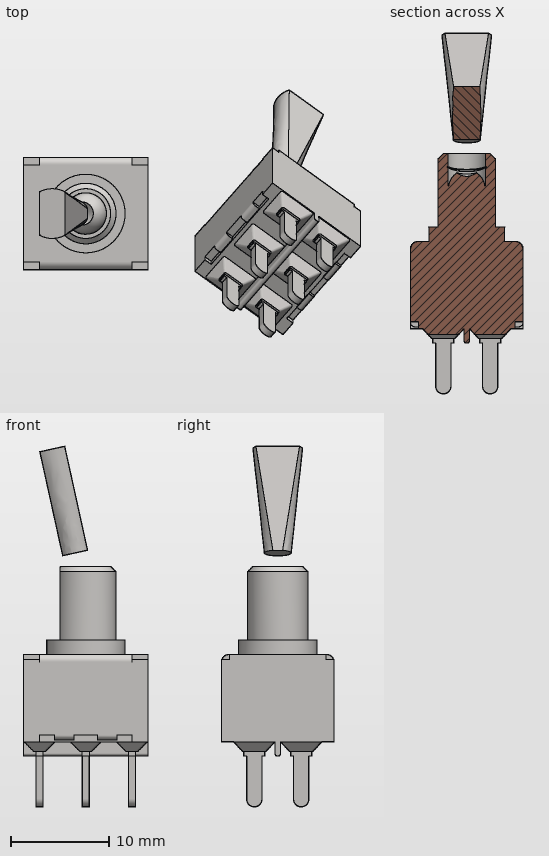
import cadquery as cq
import math


overall_height = 36.68

case_length = 12.7
case_width = 11.45
case_height = 8.9
cap_width = 9.83
wall_top = 8.4
plate_thickness = (case_width - cap_width) / 2
plate_y = (cap_width + plate_thickness) / 2
plate_length = 9.4
plate_bottom = 0.75
plate_bend_radius = 0.77

tab_length = 1.98
tab_offset = 2.15
tab_bottom = 0.22
tab_radius = 0.45

collar_diameter = 8.0
collar_top = 10.38
bushing_diameter = 6.15
bushing_top = 17.85
bushing_chamfer = 0.55
bushing_flat_x = -2.65
bore_diameter = 4.2

pivot_z = 14.3
ball_radius = bore_diameter / 2
socket_mouth_radius = 1.17
socket_floor_radius = 0.3
socket_depth = 0.6

terminal_pitch = 4.7
row_offset = 2.4
terminal_thickness = 0.75
terminal_width = 1.58
terminal_depth = 6.6
shoulder_width = 2.15
shoulder_depth = 1.43
seal_depth = 1.0
seal_tip_length = 1.15
seal_tip_width = 2.35
seal_root_length = 3.1
seal_root_width = 4.18
seal_corner_radius = 0.3

rib_thickness = 0.6
rib_depth = 1.43
rib_radius = 0.25

lever_tilt = 12.4
lever_start = 5.03
lever_thickness = 2.6
lever_low_flat = 1.0
lever_low_width = 2.75
lever_high_flat = 4.45
lever_high_width = 5.05
lever_angle = math.radians(lever_tilt)
lever_rise = overall_height - terminal_depth - pivot_z - lever_thickness / 2 * math.sin(lever_angle)
lever_end = lever_rise / math.cos(lever_angle)


def make_walls():
    """Case block with a bay for a plate between the corner posts on each Y side."""
    walls = cq.Workplane("XY").box(case_length, case_width, wall_top, centered=(True, True, False))
    for side in (-1, 1):
        bay = (
            cq.Workplane("XY")
            .center(0, side * plate_y)
            .box(plate_length, plate_thickness, wall_top, centered=(True, True, False))
        )
        walls = walls.cut(bay)
    return walls


def make_cap():
    """Narrower top layer of the case."""
    return (
        cq.Workplane("XY")
        .workplane(offset=wall_top)
        .box(case_length, cap_width, case_height - wall_top, centered=(True, True, False))
    )


def make_plate(side):
    """Side plate with a rounded upper edge and two round-edged tabs along the bottom."""
    outer_edge = ">Y" if side > 0 else "<Y"
    plate = (
        cq.Workplane("XY")
        .workplane(offset=plate_bottom)
        .center(0, side * plate_y)
        .box(plate_length, plate_thickness, case_height - plate_bottom, centered=(True, True, False))
        .faces(outer_edge)
        .edges(">Z")
        .fillet(plate_bend_radius)
    )
    for end in (-1, 1):
        tab = (
            cq.Workplane("XY")
            .workplane(offset=tab_bottom)
            .center(end * tab_offset, side * plate_y)
            .box(tab_length, plate_thickness, plate_bottom - tab_bottom, centered=(True, True, False))
            .faces(outer_edge)
            .edges("<Z")
            .fillet(tab_radius)
        )
        plate = plate.union(tab)
    return plate


def make_bushing():
    """Collar and chamfered bushing, flattened on -X, with a blind bore that ends on the ball."""
    collar = cq.Workplane("XY").workplane(offset=case_height)
    collar = collar.circle(collar_diameter / 2).extrude(collar_top - case_height)
    bushing = (
        cq.Workplane("XY")
        .workplane(offset=collar_top)
        .circle(bushing_diameter / 2)
        .extrude(bushing_top - collar_top)
        .faces(">Z")
        .chamfer(bushing_chamfer)
    )
    flat_cutter = (
        cq.Workplane("XY")
        .workplane(offset=collar_top)
        .center(bushing_flat_x - bushing_diameter / 2, 0)
        .box(bushing_diameter, bushing_diameter, bushing_top - collar_top, centered=(True, True, False))
    )
    ball_arc = ball_radius * math.sqrt(0.5)
    bore = (
        cq.Workplane("XZ")
        .moveTo(0, pivot_z + ball_radius)
        .threePointArc((ball_arc, pivot_z + ball_arc), (ball_radius, pivot_z))
        .lineTo(ball_radius, bushing_top)
        .lineTo(0, bushing_top)
        .close()
        .revolve(360, (0, 0, 0), (0, 1, 0))
    )
    return collar.union(bushing.cut(flat_cutter)).cut(bore).cut(make_socket())


def lean(shape):
    """Turn a shape built upright over the pivot to the lever angle, and lift it to the pivot."""
    return shape.rotate((0, 0, 0), (0, 1, 0), -lever_tilt).translate((0, 0, pivot_z))


def make_socket():
    """Cutter for the tapered socket in the ball, drawn to twice its depth to clear the ball."""
    floor_height = math.sqrt(ball_radius**2 - socket_mouth_radius**2) - socket_depth
    flare = socket_mouth_radius - socket_floor_radius
    socket = (
        cq.Workplane("XZ")
        .moveTo(0, floor_height)
        .lineTo(socket_floor_radius, floor_height)
        .lineTo(socket_floor_radius + 2 * flare, floor_height + 2 * socket_depth)
        .lineTo(0, floor_height + 2 * socket_depth)
        .close()
        .revolve(360, (0, 0, 0), (0, 1, 0))
    )
    return lean(socket)


def make_terminal(x, y):
    """Round-ended blade terminal with a shoulder, and the sloping seal where it leaves the case."""
    seal = (
        cq.Workplane("XY")
        .workplane(offset=-seal_depth)
        .center(x, y)
        .rect(seal_tip_length, seal_tip_width)
        .workplane(offset=seal_depth)
        .rect(seal_root_length, seal_root_width)
        .loft(ruled=True)
        .edges("not (<Z or >Z)")
        .fillet(seal_corner_radius)
    )
    shoulder = (
        cq.Workplane("XY")
        .workplane(offset=-shoulder_depth)
        .center(x, y)
        .box(terminal_thickness, shoulder_width, shoulder_depth, centered=(True, True, False))
    )
    half_width = terminal_width / 2
    blade = (
        cq.Workplane("YZ")
        .workplane(offset=x - terminal_thickness / 2)
        .moveTo(y - half_width, 0)
        .lineTo(y - half_width, half_width - terminal_depth)
        .threePointArc((y, -terminal_depth), (y + half_width, half_width - terminal_depth))
        .lineTo(y + half_width, 0)
        .close()
        .extrude(terminal_thickness)
    )
    return seal.union(shoulder).union(blade)


def make_rib():
    """Round-edged rib along the underside of the case."""
    return (
        cq.Workplane("XY")
        .workplane(offset=-rib_depth)
        .box(case_length, rib_thickness, rib_depth, centered=(True, True, False))
        .edges("|X and <Z")
        .fillet(rib_radius)
    )


def make_housing():
    """Case, bushing, rib and both rows of terminals as one solid."""
    housing = make_walls().union(make_rib())
    for column in (-1, 0, 1):
        for row in (-1, 1):
            housing = housing.union(make_terminal(column * terminal_pitch, row * row_offset))
    housing = housing.union(make_cap(), clean=False)
    for side in (-1, 1):
        housing = housing.union(make_plate(side), clean=False)
    return housing.union(make_bushing(), clean=False)


def make_lever():
    """Lever with flat broad sides and bowed edges, widening from its root to its tip."""
    half_thickness = lever_thickness / 2

    def section(height, flat, width):
        outline = (
            cq.Workplane("XY")
            .workplane(offset=height)
            .moveTo(-half_thickness, -flat / 2)
            .threePointArc((0, -width / 2), (half_thickness, -flat / 2))
            .lineTo(half_thickness, flat / 2)
            .threePointArc((0, width / 2), (-half_thickness, flat / 2))
            .close()
        )
        return outline.val()

    root = section(lever_start, lever_low_flat, lever_low_width)
    tip = section(lever_end, lever_high_flat, lever_high_width)
    upright = cq.Workplane("XY").add(cq.Solid.makeLoft([root, tip], True))
    return lean(upright)


housing = make_housing()
lever = make_lever()

result = cq.Compound.makeCompound([housing.val(), lever.val()])